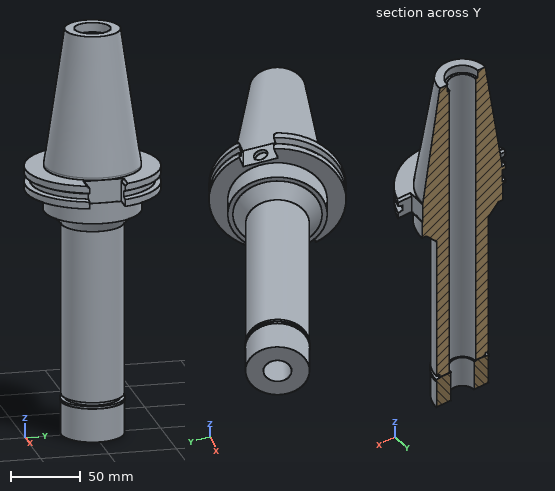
import cadquery as cq

TOTAL_HEIGHT = 304.8
NUT_RIM_BOTTOM = 25.3
NUT_TOP = 27.0
SHANK_BOTTOM = 30.0
CONE_BOTTOM = 158.8
CONE_TOP = 169.0
FLANGE_BOTTOM = 184.5
FLANGE_TOP = 201.5
TAPER_LENGTH = 101.5
TAPER_BOTTOM = TOTAL_HEIGHT - TAPER_LENGTH

TAPER_LARGE_RADIUS = 35.0
TAPER_RATIO = 7 / 24
TAPER_SMALL_RADIUS = TAPER_LARGE_RADIUS - TAPER_RATIO * TAPER_LENGTH / 2
NECK_RADIUS = 20.0
SHANK_RADIUS = 23.0
CONE_RADIUS = 32.0
COLLAR_RADIUS = 35.7

FLANGE_RADIUS = 98.5 / 2
GROOVE_FLOOR_RADIUS = 45.0
GROOVE_BOTTOM = 189.5
GROOVE_FLOOR_BOTTOM = 190.5
GROOVE_FLOOR_TOP = 194.5
GROOVE_TOP = 196.3

SLOT_WIDTH = 26.2
LEFT_SLOT_FLOOR = 38.0
RIGHT_SLOT_FLOOR = 35.5
SLOT_CHAMFER = 1.8
DIMPLE_RADIUS = 5.2
DIMPLE_DEPTH = 3.0
DIMPLE_HEIGHT = 192.3

BORE_RADIUS = 11.3
COUNTERBORE_RADIUS = 13.0
COUNTERBORE_DEPTH = 7.0

NUT_RADIUS = 46.0 / 2
NUT_RIM_RADIUS = 23.5
NUT_BORE_RADIUS = 10.0


def cylinder(radius, bottom, top):
    return cq.Workplane("XY").workplane(offset=bottom).circle(radius).extrude(top - bottom)


def make_holder_blank():
    """Revolve the outer profile of the tool holder, bottom to top."""
    profile = [
        (0, NUT_TOP),
        (NECK_RADIUS, NUT_TOP),
        (NECK_RADIUS, SHANK_BOTTOM),
        (SHANK_RADIUS, SHANK_BOTTOM),
        (SHANK_RADIUS, CONE_BOTTOM),
        (CONE_RADIUS, CONE_TOP),
        (COLLAR_RADIUS, CONE_TOP),
        (COLLAR_RADIUS, FLANGE_BOTTOM),
        (FLANGE_RADIUS, FLANGE_BOTTOM),
        (FLANGE_RADIUS, GROOVE_BOTTOM),
        (GROOVE_FLOOR_RADIUS, GROOVE_FLOOR_BOTTOM),
        (GROOVE_FLOOR_RADIUS, GROOVE_FLOOR_TOP),
        (FLANGE_RADIUS, GROOVE_TOP),
        (FLANGE_RADIUS, FLANGE_TOP),
        (TAPER_LARGE_RADIUS, FLANGE_TOP),
        (TAPER_LARGE_RADIUS, TAPER_BOTTOM),
        (TAPER_SMALL_RADIUS, TOTAL_HEIGHT),
        (0, TOTAL_HEIGHT),
    ]
    return cq.Workplane("XZ").polyline(profile).close().revolve(360, (0, 0, 0), (0, 1, 0))


def make_slot_cutter(side, floor):
    """Drive slot on one side (-1 or +1 along X), with its top edges chamfered."""
    half_width = SLOT_WIDTH / 2
    chamfered_half_width = half_width + SLOT_CHAMFER
    section = [
        (-half_width, FLANGE_BOTTOM),
        (half_width, FLANGE_BOTTOM),
        (half_width, FLANGE_TOP - SLOT_CHAMFER),
        (chamfered_half_width, FLANGE_TOP),
        (-chamfered_half_width, FLANGE_TOP),
        (-half_width, FLANGE_TOP - SLOT_CHAMFER),
    ]
    plane = cq.Workplane("YZ").workplane(offset=side * floor)
    return plane.polyline(section).close().extrude(side * (FLANGE_RADIUS - floor))


def make_dimple_cutter():
    """Round recess in the floor of the left slot."""
    plane = cq.Workplane("YZ").workplane(offset=-LEFT_SLOT_FLOOR)
    return plane.center(0, DIMPLE_HEIGHT).circle(DIMPLE_RADIUS).extrude(DIMPLE_DEPTH)


def make_holder():
    holder = make_holder_blank()
    for side, floor in ((-1, LEFT_SLOT_FLOOR), (1, RIGHT_SLOT_FLOOR)):
        holder = holder.cut(make_slot_cutter(side, floor))
    holder = holder.cut(make_dimple_cutter())
    holder = holder.cut(cylinder(BORE_RADIUS, NUT_TOP, TOTAL_HEIGHT))
    counterbore_floor = TOTAL_HEIGHT - COUNTERBORE_DEPTH
    return holder.cut(cylinder(COUNTERBORE_RADIUS, counterbore_floor, TOTAL_HEIGHT))


def make_nut():
    """Clamping nut with a slightly wider rim at its top."""
    nut = cylinder(NUT_RADIUS, 0, NUT_RIM_BOTTOM)
    nut = nut.union(cylinder(NUT_RIM_RADIUS, NUT_RIM_BOTTOM, NUT_TOP))
    return nut.cut(cylinder(NUT_BORE_RADIUS, 0, NUT_TOP))


holder = make_holder()
nut = make_nut()

result = cq.Compound.makeCompound([holder.val(), nut.val()])